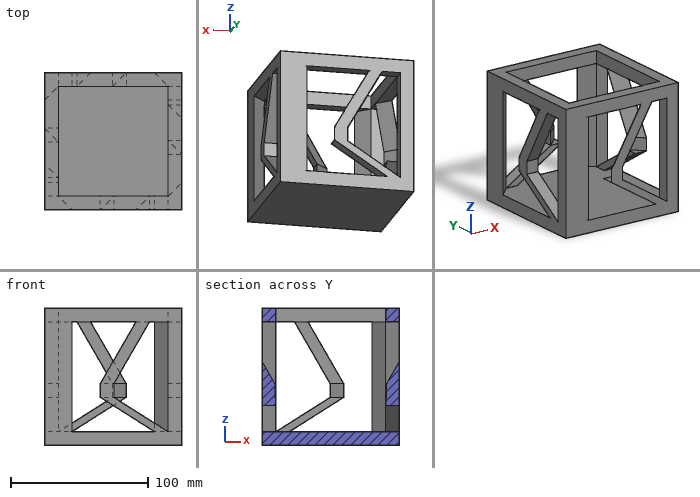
import cadquery as cq
import math

SIZE = 100.0
WALL = 10.0
POST_WIDTH = 2 * WALL
WINDOW_TOP = SIZE - WALL
WINDOW_END = SIZE - WALL
SIDE_COUNT = 4

STRUT_WIDTH = 10.0
BEND_X = 40.5
BEND_BOTTOM = 35.0
BEND_TOP = 45.0
LEAN_ANGLE = 30.0
UPPER_ARM_TOP_X = BEND_X + (WINDOW_TOP - BEND_TOP) * math.tan(math.radians(LEAN_ANGLE))


def make_open_box():
    """Cube with a square well that leaves the walls and the floor."""
    well_side = SIZE - 2 * WALL
    well = cq.Workplane("XY").box(well_side, well_side, SIZE - WALL, centered=False)
    cube = cq.Workplane("XY").box(SIZE, SIZE, SIZE, centered=False)
    return cube.cut(well.translate((WALL, WALL, WALL)))


def make_window():
    """Opening through the front wall, flaring inward along its wide post."""
    plan = [(POST_WIDTH, 0), (WINDOW_END, 0), (WINDOW_END, WALL), (WALL, WALL)]
    return cq.Workplane("XY").workplane(offset=WALL).polyline(plan).close().extrude(WINDOW_TOP - WALL)


def wedge_section(left_x):
    """Level triangle: full strut width outside, narrowing to a point at the inner face."""
    right_x = left_x + STRUT_WIDTH
    return [(left_x, 0), (right_x, 0), (right_x, WALL)]


def make_strut():
    """Lower arm of full wall depth, then an upright bend and a leaning arm of wedge section."""
    lower_profile = [
        (BEND_X, BEND_BOTTOM),
        (BEND_X + STRUT_WIDTH, BEND_BOTTOM),
        (WINDOW_END, WALL),
        (WINDOW_END - STRUT_WIDTH, WALL),
    ]
    lower_arm = cq.Workplane("XZ").polyline(lower_profile).close().extrude(-WALL)
    bend = (
        cq.Workplane("XY").workplane(offset=BEND_BOTTOM)
        .polyline(wedge_section(BEND_X)).close()
        .extrude(BEND_TOP - BEND_BOTTOM)
    )
    upper_arm = (
        cq.Workplane("XY").workplane(offset=BEND_TOP)
        .polyline(wedge_section(BEND_X)).close()
        .workplane(offset=WINDOW_TOP - BEND_TOP)
        .polyline(wedge_section(UPPER_ARM_TOP_X)).close()
        .loft(ruled=True)
    )
    return lower_arm.union(bend).union(upper_arm)


def on_each_side(shape):
    """Copies of a front-wall shape turned about the cube's vertical axis, one per wall."""
    axis_start = (SIZE / 2, SIZE / 2, 0)
    axis_end = (SIZE / 2, SIZE / 2, SIZE)
    turn = 360 / SIDE_COUNT
    return [shape.rotate(axis_start, axis_end, turn * side) for side in range(SIDE_COUNT)]


result = make_open_box()
for window in on_each_side(make_window()):
    result = result.cut(window)
for strut in on_each_side(make_strut()):
    result = result.union(strut)